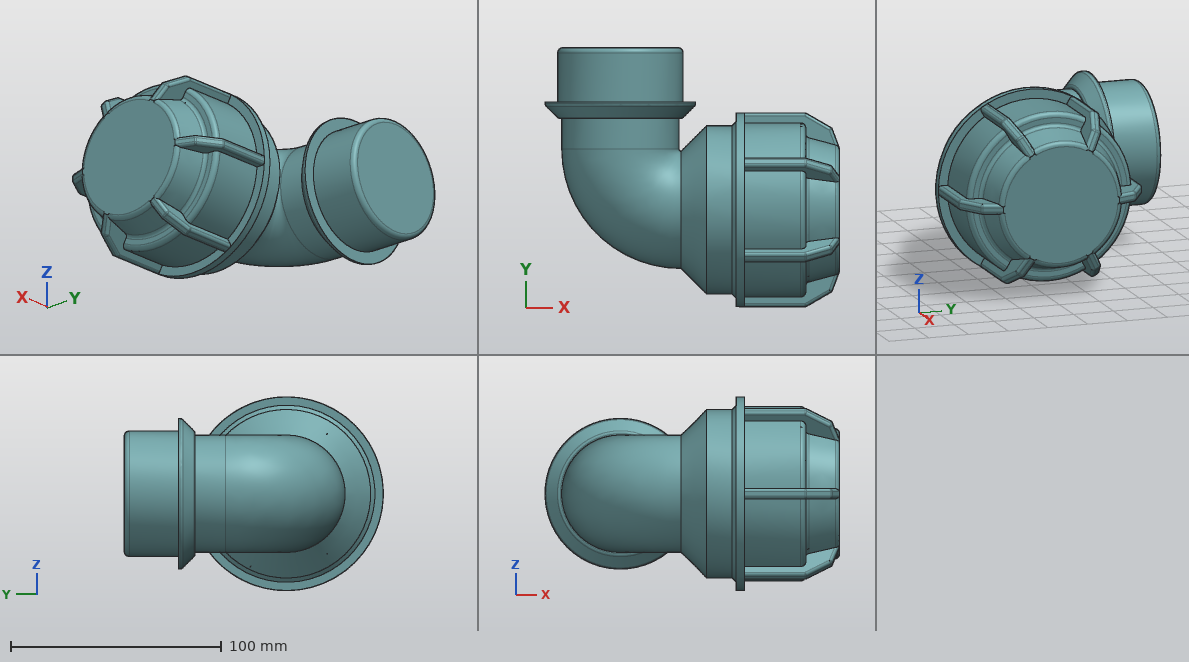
import cadquery as cq
import math


pipe_radius = 55.74 / 2
bend_inner_radius = 1.0
bend_radius = pipe_radius + bend_inner_radius

spigot_radius = 59.61 / 2
spigot_end = 77.0
spigot_rounding = 2.5
collar_radius = 71.54 / 2
collar_start = 43.3
collar_width = 8.0
collar_end = collar_start + collar_width
collar_base_radius = 29.3
collar_rim_start = collar_start + (collar_radius - collar_base_radius)
collar_rounding = 2.0

socket_radius = 80.0 / 2
socket_cone_end = bend_radius + (socket_radius - pipe_radius)
socket_chamfer = 2.0
flange_radius = 92.0 / 2
flange_start = 55.0
flange_width = 4.0
flange_end = flange_start + flange_width

nut_radius = 41.4
nut_shoulder = 88.0
nut_shoulder_rounding = 2.5
nose_base_radius = 34.7
nose_taper = math.radians(15)
nose_root_rounding = 2.0
nose_end = 104.0
nose_end_radius = nose_base_radius - (nose_end - nut_shoulder) * math.tan(nose_taper)
nose_rounding = 2.5

rib_count = 6
rib_width = 5.0
rib_rounding = 1.5
rib_knee_rounding = 1.6
rib_slope = math.radians(30)
rib_knee = 100.4
rib_knee_radius = flange_radius - (rib_knee - nut_shoulder) * math.tan(rib_slope)
rib_end_radius = 29.2
rib_root_radius = 20.0


def make_elbow():
    """Quarter-torus bend with the straight length that reaches the collar."""
    bend = (
        cq.Workplane("XZ", origin=(0, bend_radius, 0))
        .circle(pipe_radius)
        .revolve(90, (bend_radius, 0, 0), (bend_radius, 1, 0))
    )
    straight = (
        cq.Workplane("XZ", origin=(0, bend_radius, 0))
        .circle(pipe_radius)
        .extrude(-(collar_start - bend_radius))
    )
    return bend.union(straight)


def make_collar():
    """Conical collar turned about the Y axis, rounded at both ends of its cone."""
    collar = (
        cq.Workplane("XY")
        .moveTo(0, collar_start)
        .lineTo(collar_base_radius, collar_start)
        .lineTo(collar_radius, collar_rim_start)
        .lineTo(collar_radius, collar_end)
        .lineTo(0, collar_end)
        .close()
        .revolve(360, (0, 0, 0), (0, 1, 0))
    )
    cone = collar.faces("%CONE")
    return cone.edges("%CIRCLE").fillet(collar_rounding)


def make_spigot():
    """Plain spigot with its mouth edge rounded."""
    return (
        cq.Workplane("XZ", origin=(0, collar_end, 0))
        .circle(spigot_radius)
        .extrude(-(spigot_end - collar_end))
        .faces(">Y")
        .edges()
        .fillet(spigot_rounding)
    )


def make_socket():
    """Cone, cylinder and flange turned about the X axis."""
    return (
        cq.Workplane("XY")
        .moveTo(bend_radius, 0)
        .lineTo(bend_radius, pipe_radius)
        .lineTo(socket_cone_end, socket_radius)
        .lineTo(flange_start - socket_chamfer, socket_radius)
        .lineTo(flange_start, socket_radius + socket_chamfer)
        .lineTo(flange_start, flange_radius)
        .lineTo(flange_end, flange_radius)
        .lineTo(flange_end, 0)
        .close()
        .revolve(360, (0, 0, 0), (1, 0, 0))
    )


def make_nut():
    """Nut barrel with its rounded shoulder and tapered nose, turned about the X axis."""
    nut = (
        cq.Workplane("XY")
        .moveTo(flange_end, 0)
        .lineTo(flange_end, nut_radius)
        .lineTo(nut_shoulder, nut_radius)
        .lineTo(nut_shoulder, nose_base_radius)
        .lineTo(nose_end, nose_end_radius)
        .lineTo(nose_end, 0)
        .close()
        .revolve(360, (0, 0, 0), (1, 0, 0))
    )
    nose_base_edge = nut.faces("%CONE").edges("%CIRCLE").edges("<X")
    nut = nose_base_edge.fillet(nose_root_rounding)
    nut = nut.faces("%CYLINDER").edges("%CIRCLE").edges(">X").fillet(nut_shoulder_rounding)
    return nut.faces(">X").edges().fillet(nose_rounding)


def make_rib():
    """One grip rib on the +Y side, its knees and crest edges rounded."""
    rib = (
        cq.Workplane("XY")
        .moveTo(flange_end, rib_root_radius)
        .lineTo(flange_end, flange_radius)
        .lineTo(nut_shoulder, flange_radius)
        .lineTo(rib_knee, rib_knee_radius)
        .lineTo(nose_end, rib_end_radius)
        .lineTo(nose_end, rib_root_radius)
        .close()
        .extrude(rib_width / 2, both=True)
    )
    for knee in ((nut_shoulder, flange_radius, 0), (rib_knee, rib_knee_radius, 0)):
        rib = rib.edges(cq.selectors.NearestToPointSelector(knee)).fillet(rib_knee_rounding)
    crest_region = cq.selectors.BoxSelector(
        (flange_end, rib_end_radius, -rib_width),
        (nose_end, flange_radius + rib_rounding, rib_width),
    )
    crest_edges = rib.faces("<Z or >Z").edges(crest_region).edges("not #X")
    return crest_edges.fillet(rib_rounding)


result = make_elbow().union(make_collar()).union(make_spigot()).union(make_socket()).union(make_nut())
rib = make_rib()
for index in range(rib_count):
    result = result.union(rib.rotate((0, 0, 0), (1, 0, 0), index * 360 / rib_count))